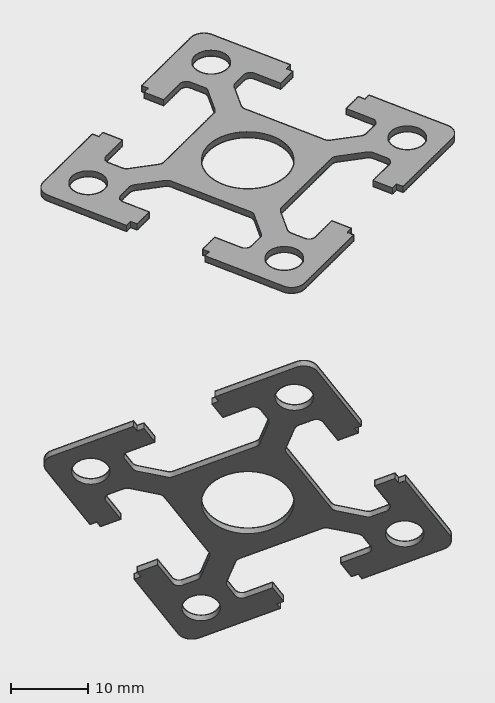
import cadquery as cq

side = 40
thickness = 1.0
corner_radius = 2
half_side = side / 2

center_bore = 12
corner_bore = 5.0
corner_bore_offset = 15.0

slot_half_width = 5.0
step_half_width = 6
step_depth = 1.0
lip_inner = 16
cavity_half_width = 10
cavity_floor = 9.0
floor_half_width = 6.5
cavity_radius = 1.0

wall_bottom = cavity_floor + cavity_half_width - floor_half_width


def corner_selector(x, y):
    """Select the vertical edges at (x, y) and its mirror image (-x, y)."""
    reach = 0.05
    boxes = [
        cq.selectors.BoxSelector((sx - reach, y - reach, 0), (sx + reach, y + reach, thickness))
        for sx in (x, -x)
    ]
    return boxes[0] + boxes[1]


def slot_cutter():
    """T-slot opening towards +Y."""
    half_outline = [
        (floor_half_width, cavity_floor),
        (cavity_half_width, wall_bottom),
        (cavity_half_width, lip_inner),
        (slot_half_width, lip_inner),
        (slot_half_width, half_side - step_depth),
        (step_half_width, half_side - step_depth),
        (step_half_width, half_side),
    ]
    mirrored = [(-x, y) for x, y in reversed(half_outline)]
    cutter = cq.Workplane("XY").polyline(half_outline + mirrored).close().extrude(thickness)
    rounded_corners = [
        (cavity_half_width, lip_inner),
        (cavity_half_width, wall_bottom),
        (floor_half_width, cavity_floor),
    ]
    for x, y in rounded_corners:
        cutter = cutter.edges(corner_selector(x, y)).fillet(cavity_radius)
    return cutter


plate = cq.Workplane("XY").rect(side, side).extrude(thickness).edges("|Z").fillet(corner_radius)

slot = slot_cutter()
for angle in (0, 90, 180, 270):
    plate = plate.cut(slot.rotate((0, 0, 0), (0, 0, 1), angle))

plate = plate.faces(">Z").workplane(origin=(0, 0, 0)).hole(center_bore)
bore_spacing = 2 * corner_bore_offset
result = (
    plate.faces(">Z")
    .workplane(origin=(0, 0, 0))
    .rect(bore_spacing, bore_spacing, forConstruction=True)
    .vertices()
    .hole(corner_bore)
)